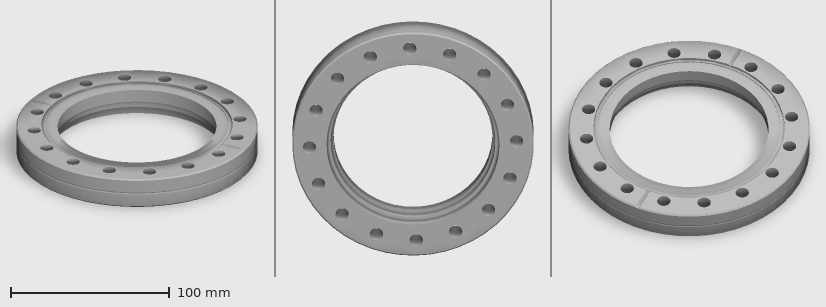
import cadquery as cq
import math

outer_diameter = 152.0
thickness = 19.8
bore_diameter = 100.0
rim_chamfer = 0.9

inner_step_radius = 51.8
inner_step_height = 10.3
outer_step_radius = 54.4
outer_step_height = 5.6

recess_radius = 60.2
knife_radius = 57.8
knife_depth = 0.6
trough_depth = 1.5
seat_depth = 1.2

rim_groove_width = 1.4
rim_groove_depth = 0.23

bolt_count = 16
bolt_circle_radius = 65.2
bolt_hole_diameter = 8.4

leak_groove_angle = 11.25
leak_groove_width = 2.5
leak_groove_depth = 0.9
leak_cutter_overrun = 1.5

outer_radius = outer_diameter / 2
bore_radius = bore_diameter / 2
half_thickness = thickness / 2


def make_ring():
    """Revolve the section, traced from the top of the bore outward and down."""
    seal = [
        (bore_radius, half_thickness - seat_depth),
        (knife_radius, half_thickness - seat_depth),
        (knife_radius, half_thickness - knife_depth),
        (recess_radius, half_thickness - trough_depth),
        (recess_radius, half_thickness),
    ]
    rim = [
        (outer_radius - rim_chamfer, half_thickness),
        (outer_radius, half_thickness - rim_chamfer),
        (outer_radius, rim_groove_width / 2),
        (outer_radius - rim_groove_depth, 0),
        (outer_radius, -rim_groove_width / 2),
        (outer_radius, -half_thickness + rim_chamfer),
        (outer_radius - rim_chamfer, -half_thickness),
    ]
    counterbore = [
        (outer_step_radius, -half_thickness),
        (outer_step_radius, -half_thickness + outer_step_height),
        (inner_step_radius, -half_thickness + outer_step_height),
        (inner_step_radius, -half_thickness + inner_step_height),
        (bore_radius, -half_thickness + inner_step_height),
    ]
    section = cq.Workplane("XZ").polyline(seal + rim + counterbore).close()
    return section.revolve(360, (0, 0, 0), (0, 1, 0))


def make_bolt_holes():
    return (
        cq.Workplane("XY")
        .workplane(offset=-half_thickness)
        .polarArray(bolt_circle_radius, 0, 360, bolt_count)
        .circle(bolt_hole_diameter / 2)
        .extrude(thickness)
    )


def make_leak_groove(angle):
    """Cylindrical cutter running radially from the seal recess through the rim."""
    half_width = leak_groove_width / 2
    groove_radius = (half_width**2 + leak_groove_depth**2) / (2 * leak_groove_depth)
    axis_height = half_thickness - leak_groove_depth + groove_radius
    start_radius = (knife_radius + recess_radius) / 2
    direction = cq.Vector(math.cos(math.radians(angle)), math.sin(math.radians(angle)), 0)
    start = direction * start_radius + cq.Vector(0, 0, axis_height)
    length = outer_radius + leak_cutter_overrun - start_radius
    return cq.Solid.makeCylinder(groove_radius, length, start, direction)


result = make_ring().cut(make_bolt_holes())
for angle in (leak_groove_angle, leak_groove_angle + 180):
    result = result.cut(make_leak_groove(angle))